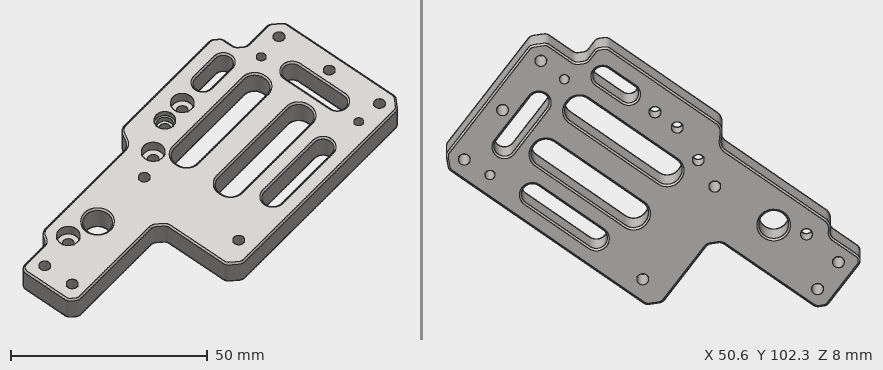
import cadquery as cq
import math

width = 50.6
length = 102.31
thickness = 8.0
edge_bevel = 0.5

head_left = 8.28
shoulder_y = 88.3
neck_left = 4.9
foot_left = 8.0
foot_right = 25.66
ledge_y = 34.2
upper_step_y = 50.0
lower_step_y = 12.36
step_angle = 60.0
large_cut = 3.0
inner_cut = 2.5
small_cut = 2.0
corner_radius = 2.0
step_radius = 3.0

screw_diameter = 3.0
head_screw_y = 97.74
head_screw_x = 29.46
head_screw_pitch = 16.5
ledge_screw_y = 42.05
ledge_screws = [(14.35, ledge_screw_y), (45.35, ledge_screw_y)]
foot_screw_y = 4.65
foot_screws = [(12.34, foot_screw_y), (21.34, foot_screw_y)]
pin_diameter = 2.5
pins = [(13.46, 90.0), (45.46, 90.0)]
window_diameter = 7.55
window_centre = (13.93, 23.85)

recess_diameter = 6.0
recess_depth = 3.3
left_column_x = 7.1
recess_x = 11.05
recessed_screws = [(left_column_x, 66.15), (recess_x, 49.65), (recess_x, 15.65)]
insert_centre = (left_column_x, 59.15)
insert_rim_diameter = 5.5
insert_diameter = 4.5
insert_rim_depth = 1.8
insert_depth = 3.5

across = 0
along = 90
slot_row_y = 68.1
slots = [
    ((29.8, 91.5), 20.1, 5.3, across),
    ((left_column_x, 78.5), 13.2, 5.05, along),
    ((43.45, slot_row_y), 25.7, 5.6, along),
]

wide_slots = [(18.05, slot_row_y), (32.5, slot_row_y)]
wide_slot_length = 34.9
wide_slot_width = 7.5
wide_slot_corner_radius = 3.5


def outline_corners():
    """Corners of the plate, clockwise from the top left, each with its rounding radius."""
    upper_drop = neck_left / math.tan(math.radians(step_angle))
    lower_drop = (foot_left - neck_left) / math.tan(math.radians(step_angle))
    return [
        (head_left, length - large_cut, corner_radius),
        (head_left + large_cut, length, corner_radius),
        (width - large_cut, length, corner_radius),
        (width, length - large_cut, corner_radius),
        (width, ledge_y + large_cut, corner_radius),
        (width - large_cut, ledge_y, corner_radius),
        (foot_right + inner_cut, ledge_y, corner_radius),
        (foot_right, ledge_y - inner_cut, corner_radius),
        (foot_right, small_cut, corner_radius),
        (foot_right - small_cut, 0, corner_radius),
        (foot_left, 0, corner_radius),
        (foot_left, lower_step_y - lower_drop, corner_radius),
        (neck_left, lower_step_y, step_radius),
        (neck_left, upper_step_y - upper_drop, step_radius),
        (0, upper_step_y, step_radius),
        (0, shoulder_y - small_cut, corner_radius),
        (small_cut, shoulder_y, corner_radius),
        (head_left - small_cut, shoulder_y, corner_radius),
        (head_left, shoulder_y + small_cut, corner_radius),
    ]


def make_plate():
    corners = outline_corners()
    plate = cq.Workplane("XY").polyline([(x, y) for x, y, _ in corners]).close().extrude(thickness)
    for x, y, radius in corners:
        corner_edge = cq.selectors.NearestToPointSelector((x, y, thickness / 2))
        plate = plate.edges("|Z").edges(corner_edge).fillet(radius)
    return plate


def cut_round_openings(plate):
    for centre, slot_length, slot_width, angle in slots:
        cutter = cq.Workplane("XY").center(*centre).slot2D(slot_length, slot_width, angle).extrude(thickness)
        plate = plate.cut(cutter)
    return plate.cut(round_cutter([window_centre], window_diameter))


def cut_wide_slots(plate):
    cutter = (
        cq.Workplane("XY")
        .pushPoints(wide_slots)
        .rect(wide_slot_width, wide_slot_length)
        .extrude(thickness)
        .edges("|Z")
        .fillet(wide_slot_corner_radius)
    )
    return plate.cut(cutter)


def bevel_both_faces(plate):
    return plate.faces("<Z or >Z").edges().chamfer(edge_bevel)


def round_cutter(centres, diameter, depth=thickness):
    """Cylinders sunk to the given depth below the top face."""
    top = cq.Workplane("XY", origin=(0, 0, thickness))
    return top.pushPoints(centres).circle(diameter / 2).extrude(-depth)


def drill_plain_holes(plate):
    head_screws = [(head_screw_x + step * head_screw_pitch, head_screw_y) for step in (-1, 0, 1)]
    screws = head_screws + ledge_screws + foot_screws
    return plate.cut(round_cutter(screws, screw_diameter)).cut(round_cutter(pins, pin_diameter))


def drill_recessed_holes(plate):
    plate = plate.cut(round_cutter(recessed_screws + [insert_centre], screw_diameter))
    plate = plate.cut(round_cutter(recessed_screws, recess_diameter, recess_depth))
    plate = plate.cut(round_cutter([insert_centre], insert_rim_diameter, insert_rim_depth))
    return plate.cut(round_cutter([insert_centre], insert_diameter, insert_depth))


result = make_plate()
result = cut_round_openings(result)
result = cut_wide_slots(result)
result = bevel_both_faces(result)
result = drill_plain_holes(result)
result = drill_recessed_holes(result)